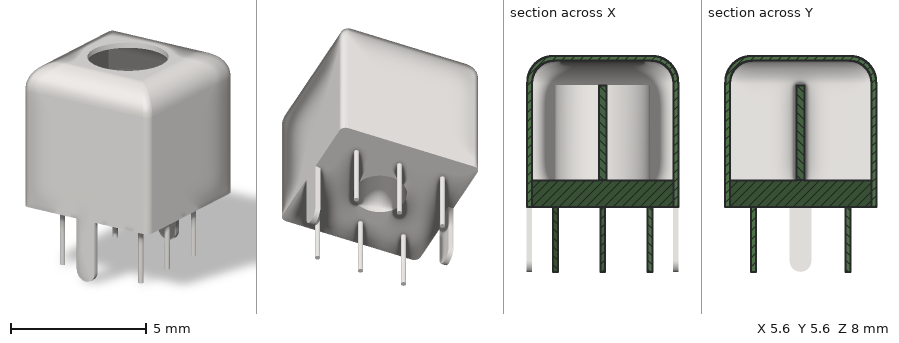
import cadquery as cq

total_height = 8.0
can_width = 5.6
lead_length = 2.4

wall = 0.2
top_edge_radius = 1.0
corner_radius = 0.25
window_diameter = 3.0
tab_width = 0.8

core_diameter = 3.5
bore_diameter = 2.0
core_depth = 1.1
base_thickness = 1.0

pin_diameter = 0.2
pin_pitch = 1.74

can_height = total_height - lead_length
cavity_width = can_width - 2 * wall
cavity_height = can_height - wall
cavity_corner_radius = corner_radius - wall
core_top = total_height - core_depth
core_bottom = lead_length + base_thickness


def rounded_block(width, height, top_radius, side_radius):
    """Square block standing on the can's rim plane, with rounded top and side edges."""
    block = (
        cq.Workplane("XY", origin=(0, 0, lead_length))
        .rect(width, width)
        .extrude(height)
        .faces(">Z").edges().fillet(top_radius)
    )
    corner_edges = [
        edge for edge in block.edges().vals()
        if abs(edge.startPoint().z - edge.endPoint().z) > top_radius / 2
        and abs(abs(edge.Center().x) - abs(edge.Center().y)) < side_radius / 100
    ]
    return block.newObject(corner_edges).fillet(side_radius)


def make_tab(outer_y):
    """Round-ended mounting tab, its thickness running from outer_y towards -Y."""
    half_width = tab_width / 2
    return (
        cq.Workplane("XZ", origin=(0, outer_y, 0))
        .moveTo(-half_width, lead_length + wall)
        .lineTo(-half_width, half_width)
        .threePointArc((0, 0), (half_width, half_width))
        .lineTo(half_width, lead_length + wall)
        .close()
        .extrude(wall)
    )


def make_can():
    """Open-bottomed shield with a round window and two tabs."""
    can = rounded_block(can_width, can_height, top_edge_radius, corner_radius)
    cavity = rounded_block(
        cavity_width, cavity_height, top_edge_radius - wall, cavity_corner_radius
    )
    window = (
        cq.Workplane("XY", origin=(0, 0, lead_length))
        .circle(window_diameter / 2)
        .extrude(can_height)
    )
    can = can.cut(cavity).cut(window)
    for outer_y in (can_width / 2, wall - can_width / 2):
        can = can.union(make_tab(outer_y))
    return can


def make_core():
    """Tubular core standing on the base."""
    return (
        cq.Workplane("XY", origin=(0, 0, core_bottom))
        .circle(core_diameter / 2)
        .circle(bore_diameter / 2)
        .extrude(core_top - core_bottom)
    )


def make_base():
    """Square base that closes the can around the bore and carries the pins."""
    return (
        cq.Workplane("XY", origin=(0, 0, lead_length))
        .rect(cavity_width, cavity_width)
        .extrude(base_thickness)
        .edges("|Z").fillet(cavity_corner_radius)
        .faces(">Z").workplane()
        .hole(bore_diameter)
    )


def make_pin(x, y):
    """Round pin hanging from the underside of the base."""
    return cq.Workplane("XY", origin=(x, y, 0)).circle(pin_diameter / 2).extrude(lead_length)


can = make_can()
core = make_core()
base = make_base()
pins = [
    make_pin(x, y).val()
    for x in (-pin_pitch, pin_pitch)
    for y in (-pin_pitch, 0, pin_pitch)
]

result = cq.Compound.makeCompound([can.solids().val(), core.val(), base.val(), *pins])